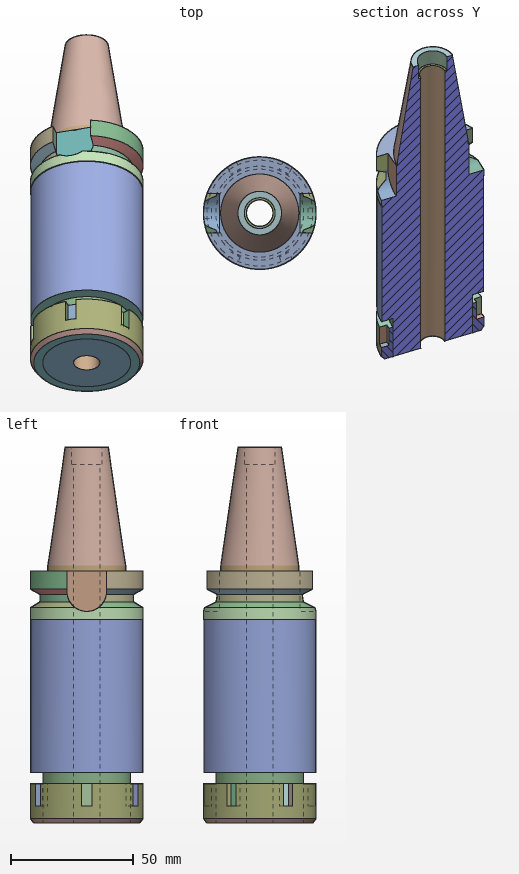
import cadquery as cq

total_height = 153.4
gauge_height = 105.0
flange_top = 103.0
groove_top = 95.4
groove_floor_top = 93.3
groove_floor_bottom = 90.2
groove_bottom = 87.9
flange_bottom = 83.0
body_bottom = 20.5
nut_height = 16.1

flange_radius = 23.0
body_radius = 22.9
groove_radius = 19.2
neck_radius = 18.0
gauge_radius = 16.0
taper_slope = 7 / 48
taper_end_radius = gauge_radius - taper_slope * (total_height - gauge_height)
flange_step = flange_radius - body_radius

bore_radius = 5.4
counterbore_radius = 6.3
counterbore_depth = 7.2

keyway_width = 16.1
keyway_bottom = 86.4
keyway_floor_x = 16.4

nut_radius = 23.0
nut_chamfer_height = 1.8
nut_chamfer_width = 1.4
slot_count = 6
slot_width = 4.3
slot_bottom = 6.9
slot_floor_radius = 19.6


def make_keyway_cutter():
    """Round-bottomed keyway at +X, from its flat floor out past the flange."""
    half_width = keyway_width / 2
    arc_center = keyway_bottom + half_width
    return (
        cq.Workplane("YZ", origin=(keyway_floor_x, 0, 0))
        .moveTo(-half_width, flange_top)
        .lineTo(-half_width, arc_center)
        .threePointArc((0, keyway_bottom), (half_width, arc_center))
        .lineTo(half_width, flange_top)
        .close()
        .extrude(flange_radius)
    )


def make_holder():
    """Taper, grooved flange, body and the neck that passes through the nut."""
    profile = [
        (0, 0),
        (neck_radius, 0),
        (neck_radius, body_bottom),
        (body_radius, body_bottom),
        (body_radius, flange_bottom),
        (flange_radius, flange_bottom + flange_step),
        (flange_radius, groove_bottom),
        (groove_radius, groove_floor_bottom),
        (groove_radius, groove_floor_top),
        (flange_radius, groove_top),
        (flange_radius, flange_top),
        (gauge_radius, flange_top),
        (gauge_radius, gauge_height),
        (taper_end_radius, total_height),
        (0, total_height),
    ]
    holder = cq.Workplane("XZ").polyline(profile).close().revolve(360, (0, 0, 0), (0, 1, 0))

    bore = cq.Workplane("XY").circle(bore_radius).extrude(total_height)
    counterbore = (
        cq.Workplane("XY", origin=(0, 0, total_height - counterbore_depth))
        .circle(counterbore_radius)
        .extrude(counterbore_depth)
    )
    holder = holder.cut(bore).cut(counterbore)

    keyway = make_keyway_cutter()
    for angle in (0, 180):
        holder = holder.cut(keyway.rotate((0, 0, 0), (0, 0, 1), angle))
    return holder


def make_nut():
    """Ring around the neck, with spanner slots that open at its upper face."""
    profile = [
        (neck_radius, 0),
        (nut_radius - nut_chamfer_width, 0),
        (nut_radius, nut_chamfer_height),
        (nut_radius, nut_height),
        (neck_radius, nut_height),
    ]
    nut = cq.Workplane("XZ").polyline(profile).close().revolve(360, (0, 0, 0), (0, 1, 0))

    slot = cq.Workplane("XY").box(
        nut_radius, slot_width, nut_height - slot_bottom, centered=(False, True, False)
    ).translate((slot_floor_radius, 0, slot_bottom))
    for index in range(slot_count):
        angle = index * 360 / slot_count
        nut = nut.cut(slot.rotate((0, 0, 0), (0, 0, 1), angle))
    return nut


holder = make_holder()
nut = make_nut()

result = cq.Compound.makeCompound([holder.val(), nut.val()])